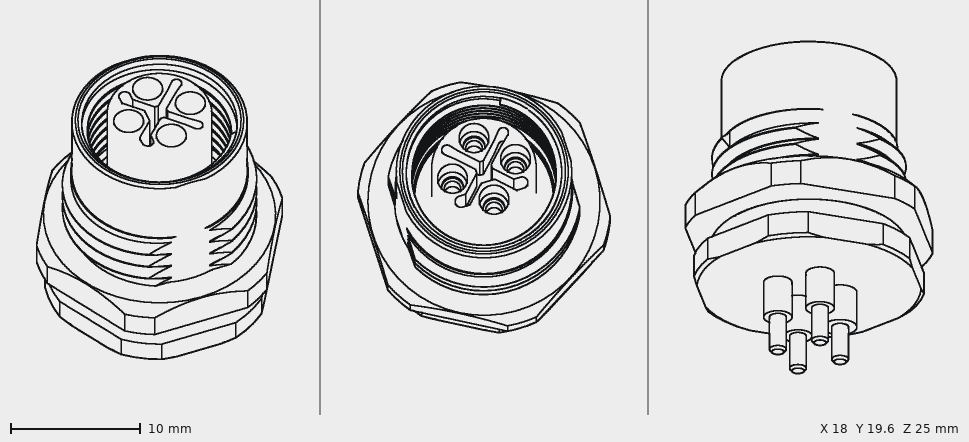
import cadquery as cq
import math


pin_tip_z = 0.0
collar_bottom_z = 3.0
flange_bottom_z = 6.0
flange_top_z = 8.0
nut_bottom_z = 10.05
nut_top_z = 12.85
sleeve_step_z = 18.0
sleeve_top_z = 24.0
insert_top_z = 25.0

flange_across_flats = 16.92
flange_corner_diameter = 18.0
flange_chamfer_radial = 0.35
flange_chamfer_height = 0.2
nut_across_flats = 18.0
nut_corner_diameter = 19.58
nut_chamfer = 0.82

ring_outer_diameter = 15.58
ring_section_diameter = 2.2

sleeve_across_flats = 13.32
sleeve_diameter = 13.55
sleeve_rim_diameter = 13.0
sleeve_rim_chamfer_height = 0.18
thread_root_diameter = 13.7
thread_crest_diameter = 15.0
thread_pitch = 1.4
thread_base_width = 1.32
thread_crest_width = 0.08
thread_turns = 4.5
thread_end_angle = 97.0
thread_end_z = 17.25
nut_bore_diameter = 13.8

cavity_diameter = 12.0
cavity_entry_chamfer = 0.3
cavity_bottom_diameter = 10.9
cavity_floor_diameter = 10.7
cavity_floor_z = 14.5
cavity_thread_bottom_z = 15.5
inner_thread_crest_diameter = 11.15
inner_thread_pitch = 1.0
inner_thread_base_width = 0.92
inner_thread_crest_width = 0.2
inner_thread_turns = 7
inner_thread_end_angle = 60.0
inner_thread_end_z = 23.3

insert_diameter = 8.1
insert_edge_round = 0.2
insert_base_round = 0.45
contact_circle_radius = 2.55
contact_hole_diameter = 2.3
contact_hole_depth = 3.0
funnel_diameter = 1.7
throat_depth = 0.5
socket_diameter = 1.3
socket_depth = 2.0

recess_depth = 5.0
arm_width = 0.68
arm_taper_start = 2.32
bulb_radius = 0.4
bulb_distance = 3.22
hub_half_width = 0.62
hub_bottom_y = -1.02
foot_width = 0.9
foot_center_x = 2.48
foot_inner_x = 1.92
foot_y = -1.92

pin_diameter = 1.3
pin_tip_chamfer_radial = 0.18
pin_tip_chamfer_height = 0.22
collar_diameter = 2.2
large_collar_diameter = 2.6
large_collar_angle = 270
contact_angles = (0, 90, 180, 270)

overlap = 0.12
thread_overlap = 0.02


def cylinder(diameter, bottom_z, top_z):
    return cq.Workplane("XY").workplane(offset=bottom_z).circle(diameter / 2).extrude(top_z - bottom_z)


def revolved(points):
    """Turn a closed (radius, z) outline about the Z axis."""
    return cq.Workplane("XZ").polyline(points).close().revolve(360, (0, 0), (0, 1))


def hexagon(across_flats, bottom_z, top_z):
    """Hexagonal prism with two of its flats facing +X and -X."""
    corner_diameter = across_flats / math.cos(math.pi / 6)
    prism = cq.Workplane("XY").workplane(offset=bottom_z).polygon(6, corner_diameter)
    return prism.extrude(top_z - bottom_z).rotate((0, 0, 0), (0, 0, 1), 30)


def at_contact(angle):
    """Position of the contact that lies at the given angle."""
    return (
        contact_circle_radius * math.cos(math.radians(angle)),
        contact_circle_radius * math.sin(math.radians(angle)),
        0,
    )


def thread_ridge(base_radius, crest_radius, base_width, crest_width, pitch, turns, end_z, end_angle):
    """Right-handed ridge whose crest ends at the given height and angle."""
    flank_slope = (base_width - crest_width) / (base_radius - crest_radius)
    outward = 1 if crest_radius > base_radius else -1
    buried_radius = base_radius - outward * thread_overlap
    buried_width = crest_width + flank_slope * (buried_radius - crest_radius)
    profile = cq.Workplane("XZ").polyline([
        (buried_radius, -buried_width / 2),
        (crest_radius, -crest_width / 2),
        (crest_radius, crest_width / 2),
        (buried_radius, buried_width / 2),
    ]).close()
    path = cq.Workplane(cq.Wire.makeHelix(pitch, pitch * turns, base_radius))
    ridge = profile.sweep(path, isFrenet=True)
    start_angle = end_angle - 360 * turns
    return ridge.rotate((0, 0, 0), (0, 0, 1), start_angle).translate((0, 0, end_z - pitch * turns))


def make_flange():
    corner_radius = flange_corner_diameter / 2
    envelope = revolved([
        (0, flange_bottom_z),
        (corner_radius - flange_chamfer_radial, flange_bottom_z),
        (corner_radius, flange_bottom_z + flange_chamfer_height),
        (corner_radius, flange_top_z),
        (0, flange_top_z),
    ])
    return hexagon(flange_across_flats, flange_bottom_z, flange_top_z).intersect(envelope)


def make_nut():
    corner_radius = nut_corner_diameter / 2
    envelope = revolved([
        (0, nut_bottom_z),
        (corner_radius, nut_bottom_z),
        (corner_radius, nut_top_z - nut_chamfer),
        (corner_radius - nut_chamfer, nut_top_z),
        (0, nut_top_z),
    ])
    nut = hexagon(nut_across_flats, nut_bottom_z, nut_top_z).intersect(envelope)
    return nut.cut(cylinder(nut_bore_diameter, nut_bottom_z, nut_top_z))


def make_ring():
    section_radius = ring_section_diameter / 2
    center_radius = ring_outer_diameter / 2 - section_radius
    center_z = (flange_top_z + nut_bottom_z) / 2
    ring = cq.Workplane("XZ").center(center_radius, center_z).circle(section_radius)
    ring = ring.revolve(360, (-center_radius, 0), (-center_radius, 1))
    return ring.intersect(cylinder(ring_outer_diameter, flange_top_z, nut_bottom_z))


def trim_flats(body):
    """Cut the two flats along a sleeve section."""
    flats = cq.Workplane("XY").workplane(offset=nut_bottom_z)
    flats = flats.rect(sleeve_across_flats, 2 * thread_crest_diameter).extrude(sleeve_top_z - nut_bottom_z)
    return body.intersect(flats)


def make_sleeve():
    """Flatted sleeve: plain top, threaded middle and the section that fills the nut bore."""
    ridge = thread_ridge(
        thread_root_diameter / 2, thread_crest_diameter / 2, thread_base_width, thread_crest_width,
        thread_pitch, thread_turns, thread_end_z, thread_end_angle,
    )
    threaded = cylinder(thread_root_diameter, nut_bottom_z, sleeve_step_z).union(ridge)
    in_nut = cylinder(nut_bore_diameter, nut_bottom_z, nut_top_z)
    plain = revolved([
        (0, sleeve_step_z - overlap),
        (sleeve_diameter / 2, sleeve_step_z - overlap),
        (sleeve_diameter / 2, sleeve_top_z - sleeve_rim_chamfer_height),
        (sleeve_rim_diameter / 2, sleeve_top_z),
        (0, sleeve_top_z),
    ])
    return trim_flats(threaded).union(trim_flats(in_nut)).union(trim_flats(plain))


def make_cavity():
    """Empty space inside the sleeve, with the internal thread left standing."""
    radius = cavity_diameter / 2
    floor_chamfer = (cavity_bottom_diameter - cavity_floor_diameter) / 2
    cavity = revolved([
        (0, cavity_floor_z),
        (cavity_floor_diameter / 2, cavity_floor_z),
        (cavity_bottom_diameter / 2, cavity_floor_z + floor_chamfer),
        (cavity_bottom_diameter / 2, cavity_thread_bottom_z),
        (radius, cavity_thread_bottom_z),
        (radius, sleeve_top_z - cavity_entry_chamfer),
        (radius + cavity_entry_chamfer, sleeve_top_z),
        (0, sleeve_top_z),
    ])
    ridge = thread_ridge(
        radius, inner_thread_crest_diameter / 2, inner_thread_base_width, inner_thread_crest_width,
        inner_thread_pitch, inner_thread_turns, inner_thread_end_z, inner_thread_end_angle,
    )
    return cavity.cut(ridge)


def make_insert():
    """Round contact carrier with a hollow round at its foot."""
    radius = insert_diameter / 2
    outline = (
        cq.Workplane("XZ")
        .moveTo(0, cavity_floor_z - overlap)
        .lineTo(radius + insert_base_round, cavity_floor_z - overlap)
        .lineTo(radius + insert_base_round, cavity_floor_z)
        .radiusArc((radius, cavity_floor_z + insert_base_round), insert_base_round)
        .lineTo(radius, insert_top_z - insert_edge_round)
        .radiusArc((radius - insert_edge_round, insert_top_z), -insert_edge_round)
        .lineTo(0, insert_top_z)
        .close()
    )
    return outline.revolve(360, (0, 0), (0, 1))


def make_contact_hole():
    """Straight hole with a funnel and a short throat leading into a blind socket."""
    hole_radius = contact_hole_diameter / 2
    funnel_radius = funnel_diameter / 2
    socket_radius = socket_diameter / 2
    funnel_top_z = insert_top_z - contact_hole_depth
    funnel_bottom_z = funnel_top_z - (hole_radius - funnel_radius)
    throat_bottom_z = funnel_bottom_z - throat_depth
    socket_top_z = throat_bottom_z - (funnel_radius - socket_radius)
    return revolved([
        (0, socket_top_z - socket_depth),
        (socket_radius, socket_top_z - socket_depth),
        (socket_radius, socket_top_z),
        (funnel_radius, throat_bottom_z),
        (funnel_radius, funnel_bottom_z),
        (hole_radius, funnel_top_z),
        (hole_radius, insert_top_z),
        (0, insert_top_z),
    ])


def make_recess():
    """Cross of four diagonal arms: bulb ends on the +Y side, sideways feet on the -Y side."""
    floor = cq.Workplane("XY").workplane(offset=insert_top_z - recess_depth)
    hub_height = hub_half_width - hub_bottom_y
    hub_center_y = (hub_half_width + hub_bottom_y) / 2
    recess = floor.center(0, hub_center_y).rect(2 * hub_half_width, hub_height).extrude(recess_depth)

    upper_arm = floor.polyline([
        (0, -arm_width / 2),
        (arm_taper_start, -arm_width / 2),
        (bulb_distance, -bulb_radius),
        (bulb_distance, bulb_radius),
        (arm_taper_start, arm_width / 2),
        (0, arm_width / 2),
    ]).close().extrude(recess_depth)
    bulb = floor.center(bulb_distance, 0).circle(bulb_radius).extrude(recess_depth)
    upper_arm = upper_arm.union(bulb)
    for angle in (45, 135):
        recess = recess.union(upper_arm.rotate((0, 0, 0), (0, 0, 1), angle))

    lower_arm_length = (foot_width / 2 - foot_y) * math.sqrt(2) - arm_width / 2
    lower_arm = floor.center(lower_arm_length / 2, 0).rect(lower_arm_length, arm_width).extrude(recess_depth)
    foot_length = foot_center_x - foot_inner_x
    for side, angle in ((1, -45), (-1, -135)):
        foot_middle_x = side * (foot_inner_x + foot_length / 2)
        foot = floor.center(foot_middle_x, foot_y).rect(foot_length, foot_width).extrude(recess_depth)
        foot_end = floor.center(side * foot_center_x, foot_y).circle(foot_width / 2).extrude(recess_depth)
        recess = recess.union(lower_arm.rotate((0, 0, 0), (0, 0, 1), angle)).union(foot).union(foot_end)
    return recess


def make_pin(shoulder_diameter):
    """Solder pin with a chamfered tip hanging from a thicker collar."""
    pin_radius = pin_diameter / 2
    return revolved([
        (0, pin_tip_z),
        (pin_radius - pin_tip_chamfer_radial, pin_tip_z),
        (pin_radius, pin_tip_z + pin_tip_chamfer_height),
        (pin_radius, collar_bottom_z),
        (shoulder_diameter / 2, collar_bottom_z),
        (shoulder_diameter / 2, flange_bottom_z + overlap),
        (0, flange_bottom_z + overlap),
    ])


base = make_flange()
for contact_angle in contact_angles:
    is_large = contact_angle == large_collar_angle
    pin = make_pin(large_collar_diameter if is_large else collar_diameter)
    base = base.union(pin.translate(at_contact(contact_angle)))

insert = make_insert().cut(make_recess())
contact_hole = make_contact_hole()
for contact_angle in contact_angles:
    insert = insert.cut(contact_hole.translate(at_contact(contact_angle)))

shank = cylinder(sleeve_across_flats, flange_top_z - overlap, nut_bottom_z + overlap)
body = base.union(shank).union(make_ring()).union(make_sleeve()).union(make_nut())
connector = body.cut(make_cavity()).union(insert)
result = cq.Workplane(connector.solids().val())